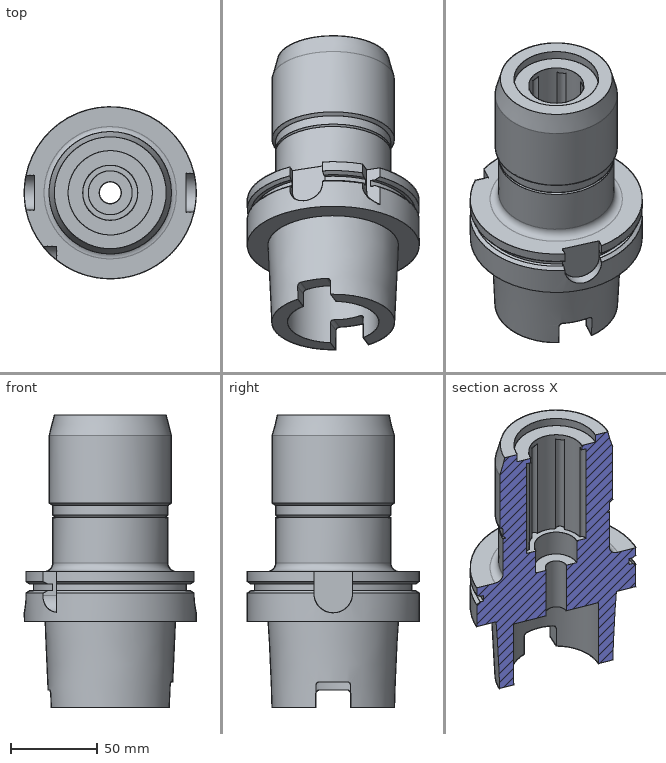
import cadquery as cq

HEIGHT = 170.0

SHANK_END_RADIUS = 35.7
SHANK_TOP_RADIUS = 37.9

FLANGE_BOTTOM = 50.0
FLANGE_TOP = 79.0
FLANGE_RADIUS = 50.0
GRIP_GROOVE_RADIUS = 45.7
GRIP_GROOVE_CENTRE = 69.9
GRIP_GROOVE_MOUTH = 6.8
GRIP_GROOVE_WIDTH = 3.7
GRIP_GROOVE_CHAMFER = 2.2

NECK_RADIUS = 33.5
NECK_FILLET = 5.0
NECK_TOP = 110.3
PARTING_GROOVE_DEPTH = 1.5
PARTING_GROOVE_HEIGHT = 1.5
SLEEVE_BOTTOM = 118.8
SLEEVE_RADIUS = 35.5
SLEEVE_UNDERCUT_HEIGHT = 1.5
NOSE_BOTTOM = 158.1
NOSE_RADIUS = 32.5

RECESS_RADIUS = 24.5
RECESS_FLOOR = HEIGHT - 5.3
TOOL_BORE_RADIUS = 16.0
TOOL_BORE_FLOOR = 95.2
SCREW_BORE_RADIUS = 12.8
SCREW_BORE_FLOOR = FLANGE_TOP
THROUGH_BORE_RADIUS = 6.3
SHANK_BORE_RADIUS = 26.5
SHANK_BORE_DEPTH = 45.0

BORE_GROOVE_COUNT = 6
BORE_GROOVE_RADIUS = 2.5
BORE_GROOVE_START_ANGLE = 30.0
BORE_GROOVE_TOP = RECESS_FLOOR - 3.5

KEYWAY_BOTTOM = 55.0
KEYWAY_INNER = 44.0
NARROW_KEYWAY_WIDTH = 20.0
WIDE_KEYWAY_WIDTH = 22.5
CORNER_NOTCH_WIDTH = 20.0
CORNER_NOTCH_INNER = 31.1

DRIVE_SLOT_WIDTH = 20.0
DRIVE_SLOT_CORNER_RADIUS = 2.0
SHALLOW_SLOT_DEPTH = 10.2
DEEP_SLOT_DEPTH = 15.0


def make_body():
    """Revolve the outer outline about Z."""
    half_mouth = GRIP_GROOVE_MOUTH / 2
    half_width = GRIP_GROOVE_WIDTH / 2
    chamfer_radius = FLANGE_RADIUS - GRIP_GROOVE_CHAMFER
    outline = (
        cq.Workplane("XZ")
        .moveTo(0, 0)
        .lineTo(SHANK_END_RADIUS, 0)
        .lineTo(SHANK_TOP_RADIUS, FLANGE_BOTTOM)
        .lineTo(FLANGE_RADIUS, FLANGE_BOTTOM)
        .lineTo(FLANGE_RADIUS, GRIP_GROOVE_CENTRE - half_mouth)
        .lineTo(chamfer_radius, GRIP_GROOVE_CENTRE - half_width)
        .lineTo(GRIP_GROOVE_RADIUS, GRIP_GROOVE_CENTRE - half_width)
        .lineTo(GRIP_GROOVE_RADIUS, GRIP_GROOVE_CENTRE + half_width)
        .lineTo(chamfer_radius, GRIP_GROOVE_CENTRE + half_width)
        .lineTo(FLANGE_RADIUS, GRIP_GROOVE_CENTRE + half_mouth)
        .lineTo(FLANGE_RADIUS, FLANGE_TOP)
        .lineTo(NECK_RADIUS + NECK_FILLET, FLANGE_TOP)
        .radiusArc((NECK_RADIUS, FLANGE_TOP + NECK_FILLET), NECK_FILLET)
        .lineTo(NECK_RADIUS, NECK_TOP)
        .lineTo(NECK_RADIUS - PARTING_GROOVE_DEPTH, NECK_TOP)
        .lineTo(NECK_RADIUS, NECK_TOP + PARTING_GROOVE_HEIGHT)
        .lineTo(NECK_RADIUS, SLEEVE_BOTTOM - SLEEVE_UNDERCUT_HEIGHT)
        .lineTo(SLEEVE_RADIUS, SLEEVE_BOTTOM)
        .lineTo(SLEEVE_RADIUS, NOSE_BOTTOM)
        .lineTo(NOSE_RADIUS, HEIGHT)
        .lineTo(0, HEIGHT)
        .close()
    )
    return outline.revolve(360, (0, 0, 0), (0, 1, 0))


def cylinder(radius, bottom, top):
    return cq.Workplane("XY").workplane(offset=bottom).circle(radius).extrude(top - bottom)


def make_bores():
    """Stepped bore along the whole axis."""
    return (
        cylinder(THROUGH_BORE_RADIUS, 0, HEIGHT)
        .union(cylinder(RECESS_RADIUS, RECESS_FLOOR, HEIGHT))
        .union(cylinder(TOOL_BORE_RADIUS, TOOL_BORE_FLOOR, HEIGHT))
        .union(cylinder(SCREW_BORE_RADIUS, SCREW_BORE_FLOOR, HEIGHT))
        .union(cylinder(SHANK_BORE_RADIUS, 0, SHANK_BORE_DEPTH))
    )


def make_bore_grooves():
    """Round grooves centred on the wall of the tool bore, starting below its mouth."""
    return (
        cq.Workplane("XY")
        .workplane(offset=TOOL_BORE_FLOOR)
        .polarArray(TOOL_BORE_RADIUS, BORE_GROOVE_START_ANGLE, 360, BORE_GROOVE_COUNT)
        .circle(BORE_GROOVE_RADIUS)
        .extrude(BORE_GROOVE_TOP - TOOL_BORE_FLOOR)
    )


def make_keyway(width, inner_x, side, centre_y=0.0):
    """Slot with a round bottom, open at the flange top and rim; side is the sign of its X."""
    radius = width / 2
    round_centre = KEYWAY_BOTTOM + radius
    return (
        cq.Workplane("YZ")
        .workplane(offset=side * inner_x)
        .moveTo(centre_y - radius, FLANGE_TOP)
        .lineTo(centre_y - radius, round_centre)
        .threePointArc((centre_y, KEYWAY_BOTTOM), (centre_y + radius, round_centre))
        .lineTo(centre_y + radius, FLANGE_TOP)
        .close()
        .extrude(side * (FLANGE_RADIUS - inner_x))
    )


def make_drive_slot(depth, side):
    """Slot through one side of the shank wall; side is the sign of its X."""
    return (
        cq.Workplane("YZ")
        .moveTo(0, depth / 2)
        .rect(DRIVE_SLOT_WIDTH, depth)
        .extrude(side * SHANK_TOP_RADIUS)
        .edges("|X and >Z")
        .fillet(DRIVE_SLOT_CORNER_RADIUS)
    )


corner_notch_y = -(CORNER_NOTCH_INNER + CORNER_NOTCH_WIDTH / 2)

result = (
    make_body()
    .cut(make_bores())
    .cut(make_bore_grooves())
    .cut(make_keyway(NARROW_KEYWAY_WIDTH, KEYWAY_INNER, -1))
    .cut(make_keyway(WIDE_KEYWAY_WIDTH, KEYWAY_INNER, 1))
    .cut(make_keyway(CORNER_NOTCH_WIDTH, CORNER_NOTCH_INNER, -1, corner_notch_y))
    .cut(make_drive_slot(SHALLOW_SLOT_DEPTH, -1))
    .cut(make_drive_slot(DEEP_SLOT_DEPTH, 1))
)